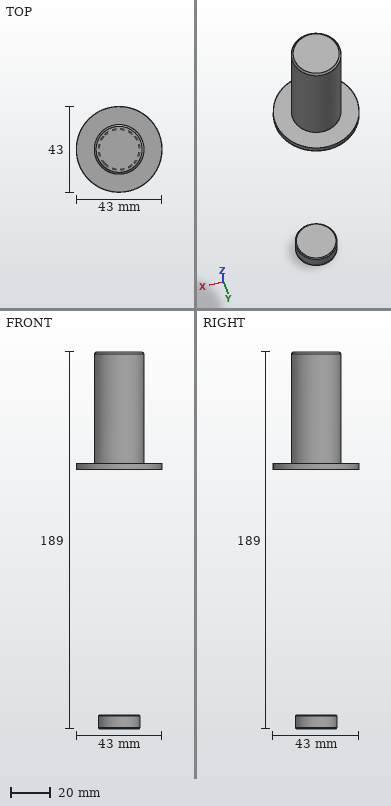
import cadquery as cq

total_height = 189.0
top_z = total_height / 2
bottom_z = -total_height / 2

flange_diameter = 43.0
flange_thickness = 3.0
shank_diameter = 25.0
pin_height = 59.0
shank_chamfer = 1.0

disc_diameter = 21.0
disc_thickness = 7.0
disc_chamfer = 0.5


def make_pin():
    """Round shank standing on a thin flange, with a chamfered free end."""
    base_z = top_z - pin_height
    flange = cq.Workplane("XY").workplane(offset=base_z).circle(flange_diameter / 2).extrude(flange_thickness)
    shank = cq.Workplane("XY").workplane(offset=base_z).circle(shank_diameter / 2).extrude(pin_height)
    shank = shank.faces(">Z").chamfer(shank_chamfer)
    return flange.union(shank)


def make_disc():
    """Short cylinder with both rims chamfered."""
    disc = cq.Workplane("XY").workplane(offset=bottom_z).circle(disc_diameter / 2).extrude(disc_thickness)
    return disc.faces("<Z or >Z").chamfer(disc_chamfer)


pin = make_pin()
disc = make_disc()

result = cq.Compound.makeCompound([pin.val(), disc.val()])